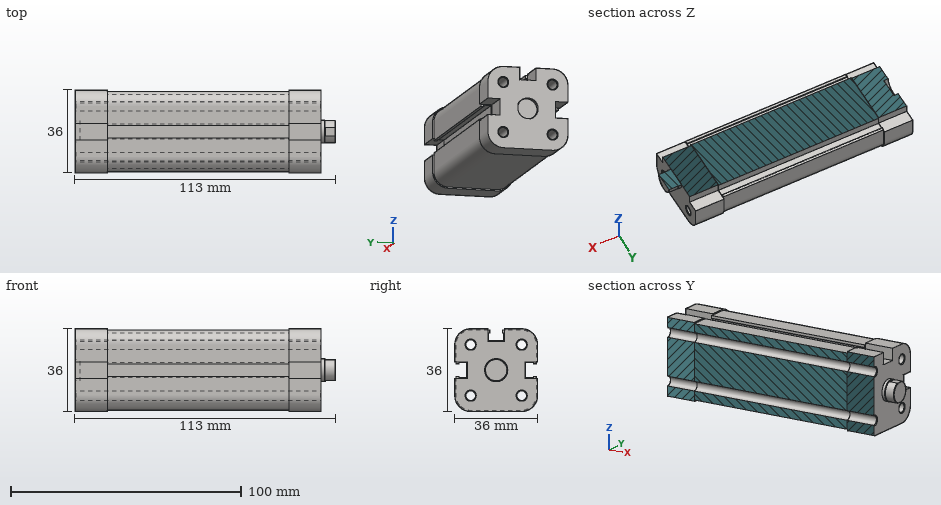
import cadquery as cq

TOTAL_LENGTH = 113.0
CAP_LENGTH = 14.0
BARREL_LENGTH = 78.9
ROD_START = 2 * CAP_LENGTH + BARREL_LENGTH

CAP_WIDTH = 36.0
CAP_CORNER_RADIUS = 7.0
CAP_SLOT_WIDTH = 7.2
CAP_SLOT_DEPTH = 5.5
RECESS_DIAMETER = 9.2
RECESS_DEPTH = 2.0

BARREL_INSET = 0.6
BARREL_WIDTH = CAP_WIDTH - 2 * BARREL_INSET
BARREL_CORNER_RADIUS = CAP_CORNER_RADIUS - BARREL_INSET
GROOVE_CLEARANCE = 0.3
GROOVE_WIDTH = CAP_SLOT_WIDTH - 2 * GROOVE_CLEARANCE
GROOVE_FLOOR = CAP_WIDTH / 2 - CAP_SLOT_DEPTH + GROOVE_CLEARANCE
GROOVE_MOUTH_WIDTH = 5.4
LIP_THICKNESS = 1.4

SCREW_HOLE_DIAMETER = 4.2
SCREW_HOLE_SPACING = 22.1
SCREW_HOLE_CHAMFER = 0.3

COLLAR_DIAMETER = 10.1
COLLAR_LENGTH = 1.4
COLLAR_TAPER_LENGTH = 0.3
TIP_DIAMETER = 9.8
TIP_CHAMFER = 0.2
FLATS_OFFSET = 1.9
FLATS_WIDTH = 9.2

SLOT_ANGLES = (0, 90, -90)


def square_bar(width, corner_radius, start, length):
    """Square bar with rounded long edges, running along +X from start."""
    bar = cq.Workplane("YZ", origin=(start, 0, 0)).rect(width, width).extrude(length)
    return bar.edges("|X").fillet(corner_radius)


def slot_cutter(width, bottom, top, start, length):
    """Rectangular cutter along X, spanning the heights bottom to top on the +Z side."""
    size = (length, width, top - bottom)
    return cq.Workplane("XY").box(*size, centered=(False, True, False)).translate((start, 0, bottom))


def cut_on_slotted_sides(body, cutter):
    for angle in SLOT_ANGLES:
        body = body.cut(cutter.rotate((0, 0, 0), (1, 0, 0), angle))
    return body


def drill_screw_holes(body, start, length):
    holes = (
        cq.Workplane("YZ", origin=(start, 0, 0))
        .rect(SCREW_HOLE_SPACING, SCREW_HOLE_SPACING, forConstruction=True)
        .vertices()
        .circle(SCREW_HOLE_DIAMETER / 2)
        .extrude(length)
    )
    return body.cut(holes)


def make_cap(start, outer_face):
    """End cap with side slots and screw holes chamfered at the given outer face.

    Rounded corners also end in arcs, so only full circles are picked for the chamfer.
    """
    cap = square_bar(CAP_WIDTH, CAP_CORNER_RADIUS, start, CAP_LENGTH)
    slot_top = CAP_WIDTH / 2
    slot = slot_cutter(CAP_SLOT_WIDTH, slot_top - CAP_SLOT_DEPTH, slot_top, start, CAP_LENGTH)
    cap = cut_on_slotted_sides(cap, slot)
    cap = drill_screw_holes(cap, start, CAP_LENGTH)
    hole_rims = cap.faces(outer_face).edges("%CIRCLE").filter(lambda edge: edge.IsClosed())
    return hole_rims.chamfer(SCREW_HOLE_CHAMFER)


def make_rear_cap():
    cap = make_cap(0, "<X")
    recess = cq.Workplane("YZ").circle(RECESS_DIAMETER / 2).extrude(RECESS_DEPTH)
    return cap.cut(recess)


def make_front_cap():
    return make_cap(CAP_LENGTH + BARREL_LENGTH, ">X")


def make_barrel():
    """Profiled barrel with three lipped sensor grooves."""
    barrel = square_bar(BARREL_WIDTH, BARREL_CORNER_RADIUS, CAP_LENGTH, BARREL_LENGTH)
    barrel_top = BARREL_WIDTH / 2
    lip_bottom = barrel_top - LIP_THICKNESS
    groove = slot_cutter(GROOVE_WIDTH, GROOVE_FLOOR, lip_bottom, CAP_LENGTH, BARREL_LENGTH)
    mouth = slot_cutter(GROOVE_MOUTH_WIDTH, GROOVE_FLOOR, barrel_top, CAP_LENGTH, BARREL_LENGTH)
    barrel = cut_on_slotted_sides(barrel, groove.union(mouth))
    return drill_screw_holes(barrel, CAP_LENGTH, BARREL_LENGTH)


def make_rod():
    """Rod end turned about X: tapered collar, then a chamfered tip with flats facing +Z and -Z."""
    collar_radius = COLLAR_DIAMETER / 2
    tip_radius = TIP_DIAMETER / 2
    collar_end = ROD_START + COLLAR_LENGTH
    half_profile = [
        (ROD_START, 0),
        (ROD_START, collar_radius),
        (collar_end, collar_radius),
        (collar_end + COLLAR_TAPER_LENGTH, tip_radius),
        (TOTAL_LENGTH - TIP_CHAMFER, tip_radius),
        (TOTAL_LENGTH, tip_radius - TIP_CHAMFER),
        (TOTAL_LENGTH, 0),
    ]
    rod = cq.Workplane("XY").polyline(half_profile).close().revolve(360, (0, 0, 0), (1, 0, 0))
    flats_start = ROD_START + FLATS_OFFSET
    flats_length = TOTAL_LENGTH - flats_start
    flat = slot_cutter(TIP_DIAMETER, FLATS_WIDTH / 2, TIP_DIAMETER / 2, flats_start, flats_length)
    for angle in (0, 180):
        rod = rod.cut(flat.rotate((0, 0, 0), (1, 0, 0), angle))
    return rod


rear_cap = make_rear_cap()
barrel = make_barrel()
front_cap = make_front_cap()
rod = make_rod()

result = cq.Compound.makeCompound([rear_cap.val(), barrel.val(), front_cap.val(), rod.val()])